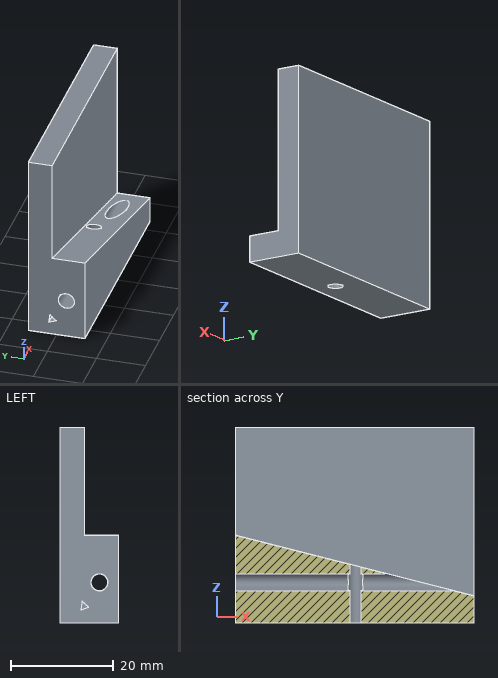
import cadquery as cq

length = 46.75
depth = 11.55
height = 38.4

plate_thickness = 4.85
base_height_left = 17.25
base_height_right = 5.4

long_hole_diameter = 3.27
long_hole_y = 3.8
long_hole_z = 8.0
upright_hole_diameter = 3.0
upright_hole_x = length / 2 + 0.15
upright_hole_y = 4.85

mark_corners = [(7.15, 4.3), (5.9, 3.15), (7.4, 2.55)]
mark_depth = 2.35


def make_base():
    """Wedge block over the full depth, falling towards +X."""
    return (
        cq.Workplane("XZ")
        .polyline([(0, 0), (length, 0), (length, base_height_right), (0, base_height_left)])
        .close()
        .extrude(-depth)
    )


def make_plate():
    """Full-height upright plate along the back."""
    return cq.Workplane("XY").box(length, plate_thickness, height, centered=False).translate(
        (0, depth - plate_thickness, 0)
    )


def make_long_hole():
    """Hole along X that breaks out through the sloping face."""
    return (
        cq.Workplane("YZ")
        .center(long_hole_y, long_hole_z)
        .circle(long_hole_diameter / 2)
        .extrude(length)
    )


def make_upright_hole():
    """Vertical through hole in the base block."""
    return (
        cq.Workplane("XY")
        .center(upright_hole_x, upright_hole_y)
        .circle(upright_hole_diameter / 2)
        .extrude(height)
    )


def make_mark():
    """Triangular recess in the left end face."""
    return cq.Workplane("YZ").polyline(mark_corners).close().extrude(mark_depth)


result = (
    make_base()
    .union(make_plate())
    .cut(make_long_hole())
    .cut(make_upright_hole())
    .cut(make_mark())
)